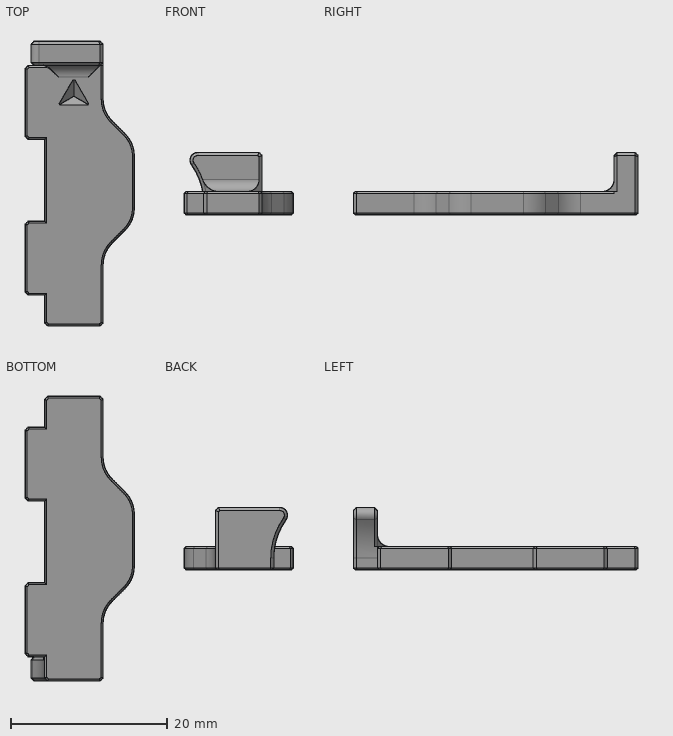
import cadquery as cq
import math

WIDTH = 14.0
LENGTH = 36.5
THICKNESS = 3.0
BODY_LEFT = 2.5
BODY_RIGHT = 10.0
CORNER_CHAMFER = 0.4
RIM_CHAMFER = 0.25

TAB_LENGTH = 9.5
TAB_BOTTOMS = (3.95, 23.9)

BULGE_CENTER_Y = 18.45
BULGE_TIP_HALF = 5.0
BULGE_BASE_HALF = BULGE_TIP_HALF + WIDTH - BODY_RIGHT
BULGE_RADIUS = 4.0

HOOK_HEIGHT = 8.0
HOOK_FRONT_Y = TAB_BOTTOMS[1] + TAB_LENGTH
HOOK_BASE_Z = THICKNESS / 2
HOOK_CURVE_RADIUS = 8.5
HOOK_NOSE_RADIUS = 1.0
HOOK_CHAMFER = 0.4
FOOT_RADIUS = 1.5

ARROW_CENTER = ((BODY_LEFT + BODY_RIGHT) / 2, 29.45)
ARROW_SIDE = 4.0
ARROW_CIRCUMRADIUS = ARROW_SIDE / math.sqrt(3)
ARROW_DEPTH = ARROW_CIRCUMRADIUS / 2
ARROW_BLUNTING = 0.2

PICK_TOLERANCE = 0.1

CURVE_CENTER = (BODY_LEFT - HOOK_CURVE_RADIUS, HOOK_BASE_Z)


def make_plate():
    """Plate outline with tabs and bulge, all outer corners and rims chamfered."""
    outline = [(BODY_LEFT, 0)]
    for bottom in TAB_BOTTOMS:
        top = bottom + TAB_LENGTH
        outline += [(BODY_LEFT, bottom), (0, bottom), (0, top), (BODY_LEFT, top)]
    bulge = [
        (BODY_RIGHT, BULGE_CENTER_Y + BULGE_BASE_HALF),
        (WIDTH, BULGE_CENTER_Y + BULGE_TIP_HALF),
        (WIDTH, BULGE_CENTER_Y - BULGE_TIP_HALF),
        (BODY_RIGHT, BULGE_CENTER_Y - BULGE_BASE_HALF),
    ]
    end_corners = [(BODY_LEFT, LENGTH), (BODY_RIGHT, LENGTH)]
    outline += end_corners + bulge + [(BODY_RIGHT, 0)]

    tab_corners = [(0, y) for bottom in TAB_BOTTOMS for y in (bottom, bottom + TAB_LENGTH)]
    sharp_corners = tab_corners + end_corners + [(BODY_LEFT, 0), (BODY_RIGHT, 0)]

    plate = cq.Workplane("XY").polyline(outline).close().extrude(THICKNESS)
    plate = upright_edges(plate, bulge).fillet(BULGE_RADIUS)
    plate = upright_edges(plate, sharp_corners).chamfer(CORNER_CHAMFER)
    return plate.faces("<Z or >Z").chamfer(RIM_CHAMFER)


def upright_edges(plate, corners):
    """Select the vertical edges of the plate that stand on the given XY corners."""
    middles = [cq.Vector(x, y, THICKNESS / 2) for x, y in corners]
    return plate.edges("|Z").filter(
        lambda edge: any((edge.Center() - middle).Length < PICK_TOLERANCE for middle in middles)
    )


def make_hook():
    """Hook outline in XZ, extruded along Y and chamfered; its front rim stays sharp within the plate."""
    nose_z = HOOK_HEIGHT - HOOK_NOSE_RADIUS
    center_distance = HOOK_CURVE_RADIUS + HOOK_NOSE_RADIUS
    tilt = math.asin((nose_z - HOOK_BASE_Z) / center_distance)
    nose_x = CURVE_CENTER[0] + center_distance * math.cos(tilt)

    def curve_point(angle):
        return (
            CURVE_CENTER[0] + HOOK_CURVE_RADIUS * math.cos(angle),
            CURVE_CENTER[1] + HOOK_CURVE_RADIUS * math.sin(angle),
        )

    hook = (
        cq.Workplane("XZ", origin=(0, LENGTH, 0))
        .moveTo(BODY_LEFT, HOOK_BASE_Z)
        .threePointArc(curve_point(tilt / 2), curve_point(tilt))
        .threePointArc((nose_x - HOOK_NOSE_RADIUS, nose_z), (nose_x, HOOK_HEIGHT))
        .lineTo(BODY_RIGHT, HOOK_HEIGHT)
        .lineTo(BODY_RIGHT, HOOK_BASE_Z)
        .close()
        .extrude(LENGTH - HOOK_FRONT_Y)
    )
    root_zone = cq.Workplane("XY").box(WIDTH, LENGTH - HOOK_CHAMFER, THICKNESS, centered=False)
    sharp_root = hook.intersect(root_zone)
    hook = hook.edges("|Y and >X and >Z").chamfer(HOOK_CHAMFER)
    rims = hook.faces("<Y or >Y").edges().filter(lambda edge: edge.Center().z > HOOK_BASE_Z + PICK_TOLERANCE)
    return rims.chamfer(HOOK_CHAMFER).union(sharp_root)


def make_hook_foot():
    """Concave fillet between hook and plate, its ends cut by the continued hook chamfers."""
    front_y = HOOK_FRONT_Y - FOOT_RADIUS
    back_y = HOOK_FRONT_Y + HOOK_CHAMFER
    top_z = THICKNESS + FOOT_RADIUS
    sweep = FOOT_RADIUS * math.sqrt(0.5)
    section = (
        cq.Workplane("YZ")
        .moveTo(front_y, THICKNESS)
        .threePointArc((front_y + sweep, top_z - sweep), (HOOK_FRONT_Y, top_z))
        .lineTo(back_y, top_z)
        .lineTo(back_y, HOOK_BASE_Z)
        .lineTo(front_y, HOOK_BASE_Z)
        .close()
        .extrude(BODY_RIGHT)
    )

    depth = back_y - front_y
    left_cone = cq.Solid.makeCone(
        HOOK_CURVE_RADIUS,
        HOOK_CURVE_RADIUS + depth,
        depth,
        pnt=cq.Vector(CURVE_CENTER[0], back_y, CURVE_CENTER[1]),
        dir=cq.Vector(0, -1, 0),
    )
    right_wedge = (
        cq.Workplane("XY")
        .polyline([(BODY_RIGHT, back_y), (BODY_RIGHT, front_y), (BODY_RIGHT - depth, front_y)])
        .close()
        .extrude(HOOK_HEIGHT)
    )
    return section.cut(cq.Workplane(left_cone)).cut(right_wedge)


def make_arrow_pit():
    """Inverted pyramid pointing toward the hook, cut short at its three corners."""
    center_x, center_y = ARROW_CENTER

    def around(radius, degrees):
        angle = math.radians(degrees)
        return cq.Vector(center_x + radius * math.cos(angle), center_y + radius * math.sin(angle), THICKNESS)

    corners = [around(ARROW_CIRCUMRADIUS, degrees) for degrees in (90, 210, 330)]
    tip = cq.Vector(center_x, center_y, THICKNESS - ARROW_DEPTH)
    rings = [corners]
    rings += [[corners[i - 1], corners[i], tip] for i in range(3)]
    faces = [cq.Face.makeFromWires(cq.Wire.makePolygon(ring, close=True)) for ring in rings]
    pyramid = cq.Workplane(cq.Solid.makeSolid(cq.Shell.makeShell(faces)))

    blunt_radius = 2 * (ARROW_CIRCUMRADIUS - ARROW_BLUNTING)
    blunting = [around(blunt_radius, degrees).toTuple()[:2] for degrees in (30, 150, 270)]
    limits = cq.Workplane("XY").polyline(blunting).close().extrude(THICKNESS)
    return pyramid.intersect(limits)


result = make_plate().union(make_hook()).union(make_hook_foot()).cut(make_arrow_pit()).clean()